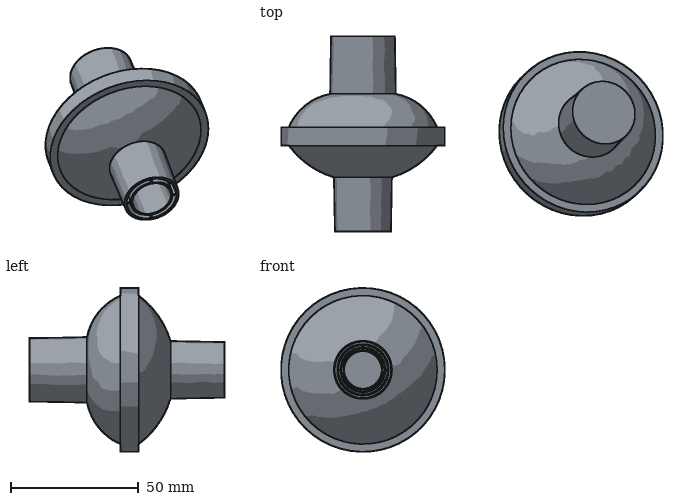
import cadquery as cq

total_length = 76.6
front_neck_end = 21.2
flange_front = 33.7
flange_back = 40.9
rear_neck_start = 54.0

flange_radius = 32.2
dome_rim_radius = 29.1
front_tip_radius = 11.0
front_base_radius = 11.4
rear_tip_radius = 12.6
rear_base_radius = 12.95

front_dome_point = (22.3, 26.8)
rear_dome_point = (23.0, 49.2)

bore_mouth_radius = 7.8
bore_bottom_radius = 7.35
bore_depth = front_neck_end

groove_outer_radius = 10.1
groove_inner_radius = 8.5
groove_bottom_outer_radius = 9.65
groove_bottom_inner_radius = 8.8
groove_depth = front_neck_end
rib_thickness = 0.6
rib_count = 4


def revolve_about_y(profile):
    """Turn a closed radius-versus-Y profile about the Y axis."""
    return profile.close().revolve(360, (0, 0, 0), (0, 1, 0))


def make_body():
    """Two necks, two domes and the central flange as one turned solid."""
    return revolve_about_y(
        cq.Workplane("XY")
        .moveTo(0, 0)
        .lineTo(front_tip_radius, 0)
        .lineTo(front_base_radius, front_neck_end)
        .threePointArc(front_dome_point, (dome_rim_radius, flange_front))
        .lineTo(flange_radius, flange_front)
        .lineTo(flange_radius, flange_back)
        .lineTo(dome_rim_radius, flange_back)
        .threePointArc(rear_dome_point, (rear_base_radius, rear_neck_start))
        .lineTo(rear_tip_radius, total_length)
        .lineTo(0, total_length)
    )


def make_bore():
    """Tapered plug that leaves the blind bore."""
    return revolve_about_y(
        cq.Workplane("XY")
        .lineTo(bore_mouth_radius, 0)
        .lineTo(bore_bottom_radius, bore_depth)
        .lineTo(0, bore_depth)
    )


def make_grooves():
    """Tapered ring with gaps where the radial ribs remain."""
    ring = revolve_about_y(
        cq.Workplane("XY")
        .moveTo(groove_inner_radius, 0)
        .lineTo(groove_outer_radius, 0)
        .lineTo(groove_bottom_outer_radius, groove_depth)
        .lineTo(groove_bottom_inner_radius, groove_depth)
    )
    rib_blank = cq.Workplane("XY").box(
        front_base_radius, groove_depth, rib_thickness, centered=(False, False, True)
    )
    for index in range(rib_count):
        angle = index * 360 / rib_count
        ring = ring.cut(rib_blank.rotate((0, 0, 0), (0, 1, 0), angle))
    return ring


result = make_body().cut(make_bore()).cut(make_grooves())